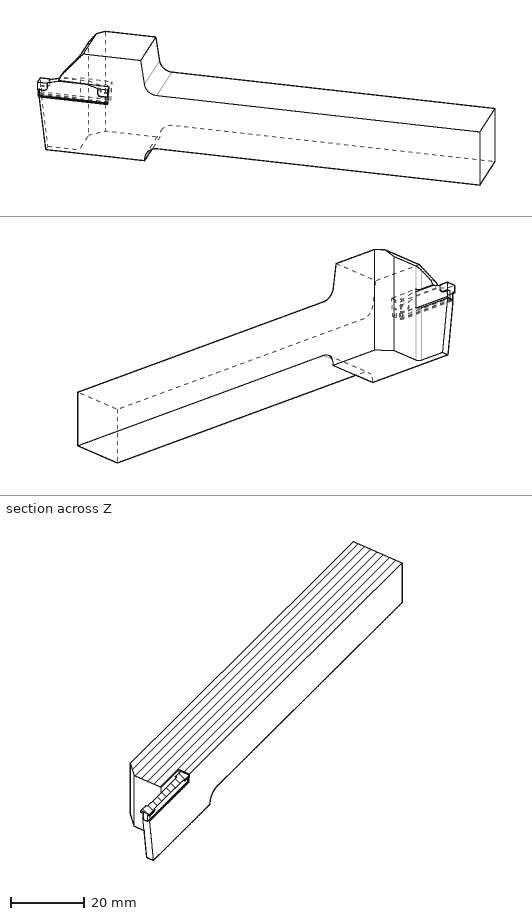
import cadquery as cq
import math

LENGTH = 125.0
SHANK = 16.0
HEAD_HEIGHT = 30.0
SHANK_TOP = 20.0
SHANK_BOTTOM = SHANK_TOP - SHANK
TOE_X = 2.2
BLADE_FRONT_X = 0.4
HEAD_BOTTOM_BACK_X = 30.2
NECK_TOP_X = 30.6
HEAD_TOP_BACK_X = 29.1
HEAD_TOP_FRONT_X = 12.9
JAW_TIP_X = 5.9
JAW_ARC_X = 7.0
JAW_ARC_Z = 23.2
NECK_RADIUS = 3.5

BLADE_THICKNESS = 2.2
SHOULDER_X = 11.1
SHOULDER_FILLET = 1.1
CORNER_CHAMFER = 3.8

INSERT_LENGTH = 19.8
INSERT_BOTTOM = 15.6
INSERT_CREST = 21.0
INSERT_EDGE_CHAMFER = 0.5
TIP_LENGTH = 2.8
TIP_TOP = 20.1
TIP_BOTTOM = 17.9
TIP_WIDTH = 3.0
TIP_OVERHANG = 0.2
TIP_CORNER_RADIUS = 0.9

SLOT_DEPTH = BLADE_THICKNESS + SHOULDER_FILLET
SLOT_TOP_FRONT_Z = 21.2
SLOT_TOP_BACK_Z = 21.0
SLOT_TOP_BACK_X = 20.1
BEYOND = 1.2


def on_front(depth):
    """XZ workplane on the front face, paired with an extrusion length toward +Y."""
    return cq.Workplane("XZ"), -depth


def round_edge(body, x, z, radius):
    """Fillet the full-depth holder edge that passes through (x, z)."""
    middle = (x, SHANK / 2, z)
    return body.edges(cq.selectors.NearestToPointSelector(middle)).fillet(radius)


def holder_blank():
    plane, depth = on_front(SHANK)
    blank = (
        plane.moveTo(TOE_X, 0)
        .lineTo(HEAD_BOTTOM_BACK_X, 0)
        .lineTo(HEAD_BOTTOM_BACK_X, SHANK_BOTTOM)
        .lineTo(LENGTH, SHANK_BOTTOM)
        .lineTo(LENGTH, SHANK_TOP)
        .lineTo(NECK_TOP_X, SHANK_TOP)
        .lineTo(HEAD_TOP_BACK_X, HEAD_HEIGHT)
        .lineTo(HEAD_TOP_FRONT_X, HEAD_HEIGHT)
        .lineTo(JAW_ARC_X, JAW_ARC_Z)
        .tangentArcPoint((JAW_TIP_X, SLOT_TOP_FRONT_Z), relative=False)
        .lineTo(BLADE_FRONT_X, INSERT_BOTTOM)
        .close()
        .extrude(depth)
    )
    blank = round_edge(blank, HEAD_BOTTOM_BACK_X, SHANK_BOTTOM, NECK_RADIUS)
    return round_edge(blank, NECK_TOP_X, SHANK_TOP, NECK_RADIUS)


def blade_relief():
    """Space behind the blade, leaving a filleted shoulder and a chamfered corner."""
    arc_offset = SHOULDER_FILLET * (1 - math.sqrt(0.5))
    return (
        cq.Workplane("XY")
        .moveTo(-BEYOND, BLADE_THICKNESS)
        .lineTo(SHOULDER_X - SHOULDER_FILLET, BLADE_THICKNESS)
        .threePointArc((SHOULDER_X - arc_offset, BLADE_THICKNESS + arc_offset),
                       (SHOULDER_X, BLADE_THICKNESS + SHOULDER_FILLET))
        .lineTo(SHOULDER_X, SHANK - CORNER_CHAMFER)
        .lineTo(SHOULDER_X + CORNER_CHAMFER, SHANK)
        .lineTo(-BEYOND, SHANK)
        .close()
        .extrude(HEAD_HEIGHT)
    )


def insert_slot():
    plane, depth = on_front(SLOT_DEPTH)
    return (
        plane.polyline([
            (-BEYOND, INSERT_BOTTOM),
            (INSERT_LENGTH, INSERT_BOTTOM),
            (SLOT_TOP_BACK_X, SLOT_TOP_BACK_Z),
            (JAW_TIP_X, SLOT_TOP_FRONT_Z),
            (-BEYOND, SLOT_TOP_FRONT_Z),
        ])
        .close()
        .extrude(depth)
    )


def make_holder():
    return holder_blank().cut(blade_relief()).cut(insert_slot())


def insert_bar():
    plane, depth = on_front(BLADE_THICKNESS)
    bar = (
        plane.moveTo(0, INSERT_BOTTOM)
        .lineTo(INSERT_LENGTH, INSERT_BOTTOM)
        .lineTo(INSERT_LENGTH, TIP_TOP)
        .lineTo(INSERT_LENGTH - TIP_LENGTH, TIP_TOP)
        .lineTo(INSERT_LENGTH - JAW_TIP_X, INSERT_CREST)
        .lineTo(JAW_TIP_X, INSERT_CREST)
        .lineTo(TIP_LENGTH, TIP_TOP)
        .lineTo(0, TIP_TOP)
        .close()
        .extrude(depth)
    )
    side_edges = bar.faces("<Z or <X or >X").edges("|X or |Z")
    return side_edges.chamfer(INSERT_EDGE_CHAMFER)


def cutting_tip(start_x):
    """Wider block at an end of the bar, rounded at its lower inner corner."""
    inner_side = "<X" if start_x > 0 else ">X"
    return (
        cq.Workplane("XY")
        .box(TIP_LENGTH, TIP_WIDTH, TIP_TOP - TIP_BOTTOM, centered=False)
        .faces(inner_side).edges("<Z").fillet(TIP_CORNER_RADIUS)
        .translate((start_x, -TIP_OVERHANG, TIP_BOTTOM))
    )


def make_insert():
    insert = insert_bar()
    for start_x in (0, INSERT_LENGTH - TIP_LENGTH):
        insert = insert.union(cutting_tip(start_x))
    return insert


holder = make_holder()
cutting_insert = make_insert()

result = cq.Compound.makeCompound([holder.val(), cutting_insert.val()])